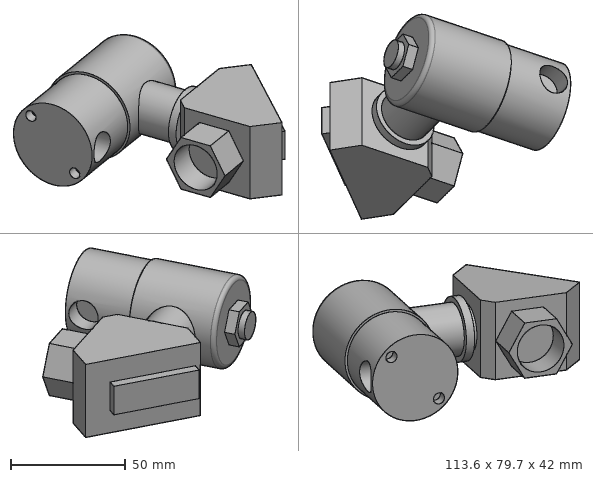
import cadquery as cq

coil_radius = 21.0
coil_back_y = 21.3
coil_front_y = -19.3
coil_fillet = 2.0
nut_corners = 20.0
nut_height = 4.9
stem_diameter = 12.7
stem_height = 3.1

conduit_diameter = 24.0
flange_diameter = 29.1
flange_start_x = 37.7
flange_thickness = 3.9
neck_diameter = 21.7

valve_radius = 20.0
coil_gap = 0.2
valve_length = 30.5
valve_front_y = coil_front_y - coil_gap - valve_length
port_diameter = 14.0
port_setback = 8.6
port_depth = 9.0
screw_hole_diameter = 5.1
screw_hole_offset = 11.1
screw_hole_depth = 5.0

block_left_x = 44.1
block_front_y = -20.1
block_side = 38.3
block_bevel = 10.2
block_chamfer = 5.0
block_height = 36.1
cover_length = 40.2
cover_width = 14.1
cover_thickness = 4.3
cover_setback = 2.4
gland_corners = 29.8
gland_length = 15.8
gland_bore_diameter = 21.8
gland_bore_depth = 12.8


def plane_along_y(x, y, direction):
    """Plane facing +Y or -Y, with its local x axis along +X."""
    return cq.Plane(origin=(x, y, 0), xDir=(1, 0, 0), normal=(0, direction, 0))


def rod_along_x(start_x, end_x, diameter):
    """Cylinder centred on the X axis."""
    return cq.Workplane("YZ", origin=(start_x, 0, 0)).circle(diameter / 2).extrude(end_x - start_x)


def make_conduit():
    flange_end_x = flange_start_x + flange_thickness
    conduit = rod_along_x(0, flange_start_x, conduit_diameter)
    flange = rod_along_x(flange_start_x, flange_end_x, flange_diameter)
    neck = rod_along_x(flange_end_x, block_left_x, neck_diameter)
    return conduit.union(flange).union(neck)


def make_coil_housing():
    """Coil can with its retaining nut, stem end and side conduit."""
    coil_length = coil_back_y - coil_front_y
    can = cq.Workplane(plane_along_y(0, coil_front_y, 1)).circle(coil_radius).extrude(coil_length)
    can = can.faces(">Y").edges().fillet(coil_fillet)
    nut = cq.Workplane(plane_along_y(0, coil_back_y, 1)).polygon(6, nut_corners).extrude(nut_height)
    stem_plane = plane_along_y(0, coil_back_y + nut_height, 1)
    stem = cq.Workplane(stem_plane).circle(stem_diameter / 2).extrude(stem_height)
    return can.union(nut).union(stem).union(make_conduit())


def make_valve_body():
    """Cylinder with a blind port on each side and two blind screw holes in front."""
    body = cq.Workplane(plane_along_y(0, valve_front_y, 1)).circle(valve_radius).extrude(valve_length)
    port_y = valve_front_y + port_setback
    for side in (-1, 1):
        port_plane = cq.Plane(origin=(side * valve_radius, port_y, 0), normal=(-side, 0, 0))
        body = body.cut(cq.Workplane(port_plane).circle(port_diameter / 2).extrude(port_depth))
        hole = cq.Workplane(plane_along_y(0, valve_front_y, 1))
        hole = hole.center(side * screw_hole_offset, side * screw_hole_offset)
        body = body.cut(hole.circle(screw_hole_diameter / 2).extrude(screw_hole_depth))
    return body


def make_block_prism():
    """Triangular prism with cut corners, centred in Z."""
    left, front = block_left_x, block_front_y
    reach = block_side + block_bevel
    outline = [
        (left + block_chamfer, front),
        (left + block_side, front),
        (left + reach, front + block_bevel),
        (left + block_bevel, front + reach),
        (left, front + block_side),
        (left, front + block_chamfer),
    ]
    return cq.Workplane("XY").polyline(outline).close().extrude(block_height / 2, both=True)


def make_cover():
    """Narrow plate on the sloping back face, set back from its upper corner."""
    upper_corner = (block_left_x + block_bevel, block_front_y + block_side + block_bevel, 0)
    slope = cq.Plane(origin=upper_corner, xDir=(1, -1, 0), normal=(1, 1, 0))
    cover = cq.Workplane(slope).center(cover_setback + cover_length / 2, 0)
    return cover.rect(cover_length, cover_width).extrude(cover_thickness)


def make_junction_block():
    """Block with its cover plate and the hexagonal cable gland in front."""
    gland_x = block_left_x - block_front_y
    gland_plane = plane_along_y(gland_x, block_front_y, -1)
    gland = cq.Workplane(gland_plane).polygon(6, gland_corners).extrude(gland_length)
    bore_plane = plane_along_y(gland_x, block_front_y - gland_length, 1)
    bore = cq.Workplane(bore_plane).circle(gland_bore_diameter / 2).extrude(gland_bore_depth)
    return make_block_prism().union(make_cover()).union(gland).cut(bore)


coil_housing = make_coil_housing()
valve_body = make_valve_body()
junction_block = make_junction_block()

result = cq.Compound.makeCompound([coil_housing.val(), valve_body.val(), junction_block.val()])